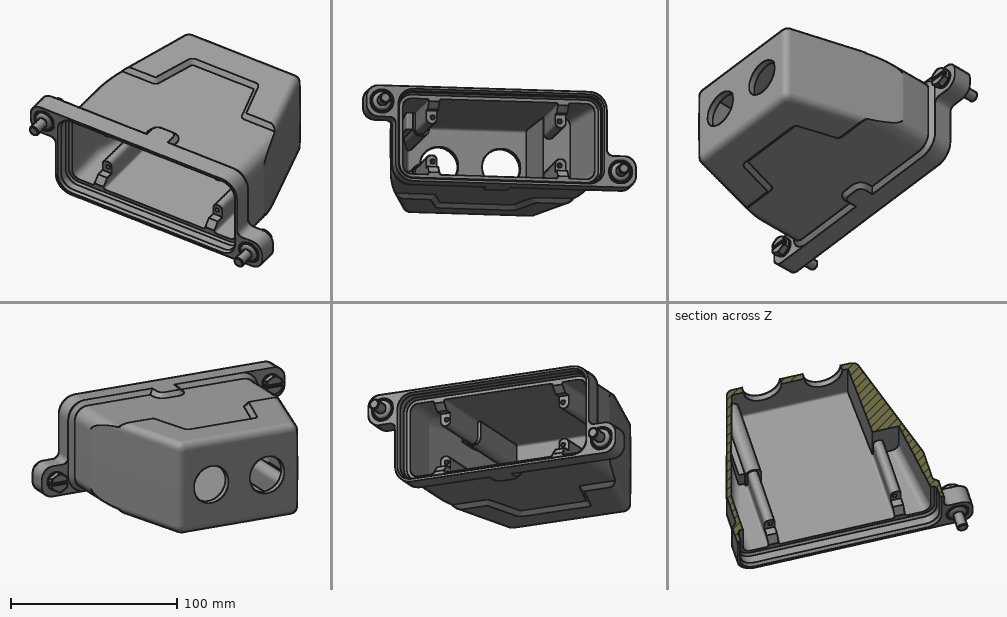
import cadquery as cq
import math


HALF_LENGTH = 82.5
HALF_HEIGHT = 29.0
FLANGE_HALF_WIDTH = 64.7
FLANGE_THICKNESS = 12.4
FLANGE_CORNER = 11.2
EAR_HEIGHT = 19.3
EAR_CORNER = 7.5
EAR_INNER_CORNER = 3.6

BODY_HALF_WIDTH = 61.63
BODY_HALF_HEIGHT = 26.2
BODY_CORNER = 8.5
SIDE_STRAIGHT_END = 35.3
BODY_TOP = 111.0
TOP_HALF_WIDTH = 40.5
DRAFT = 0.5
END_ROUND = 5.0
CORNER_ROUND = 4.8
SIDE_ROUND = 3.8
STEP = HALF_HEIGHT - BODY_HALF_HEIGHT
LEAN = (BODY_HALF_WIDTH - TOP_HALF_WIDTH) / (BODY_TOP - SIDE_STRAIGHT_END)

COVER_FOOT = 58.5
NOTCH_TOP = 86.5
NOTCH_TOP_HALF_WIDTH = 22.0
NOTCH_FOOT_HALF_WIDTH = 30.2
NOTCH_TOP_ROUND = 1.0
NOTCH_FOOT_ROUND = 3.6

BUMP_HALF_WIDTH = 10.2
BUMP_TOP = 24.9
BUMP_ROUND = 6.6

MOUTH_INSET = 1.6
WALL_INSET = 2.6
LEDGE_INSET = 3.8
MOUTH_CHAMFER_DEPTH = 2.1
WALL_END = 7.3
LEDGE_DEPTH = 8.9

CAVITY_HALF_WIDTH = 58.5
CAVITY_HALF_HEIGHT = 23.1
CAVITY_END = 107.0
CAVITY_CORNER = 5.3
CAVITY_END_ROUND = 1.5
SHELF_Y = 57.8
SHELF_INNER_X = 35.8
DEEP_RIGHT_X = 34.2
FACET_X = 49.2
FACET_Y = 69.3
DEEP_LEFT_X = 38.3

BOSS_X = 39.5
BOSS_HALF_WIDTH = 3.22
BOSS_INNER_Z = 9.5
BOSS_ROUND = 3.1
SCREW_X = 38.8
SCREW_Z = 13.5
BOSS_START = 18.2
RAMP_Z = 17.5
RAMP_CREST = 13.2
RAMP_FOOT_Z = 21.8
FOOT_ROUND = 1.5
SCREW_HOLE = 2.6
SCREW_HOLE_DEPTH = 16.5
ROOT_OUTER_X = 43.9
ROOT_INNER_X = 34.2
ROOT_Z = 8.5
ROOT_ROUND = 4.6
ROOT_START = 56.1
WEB_END_X = 47.7
WEB_Z = 12.9
WEB_START = 57.8
WEB_ROUND = 1.2

ENTRY_DIAMETER = 23.5
ENTRY_X = 19.0

BOLT_X = 73.0
BOLT_Z = HALF_HEIGHT - EAR_HEIGHT / 2
SHANK_RADIUS = 3.1
TIP_Y = -11.7
TIP_CHAMFER = 0.5
COLLAR_RADIUS = 6.0
COLLAR_HEIGHT = 1.6
COLLAR_BULGE = (5.1, -1.2)
COLLAR_POCKET_RADIUS = 7.1
COLLAR_POCKET_DEPTH = 1.6
WASHER_RADIUS = 5.8
WASHER_THICKNESS = 1.2
HEX_ACROSS_FLATS = 10.7
HEX_HEIGHT = 4.1
HEX_CHAMFER = 0.7
SLOT_WIDTH = 1.8
SLOT_DEPTH = 2.1


def rounded_bar(half_width, half_height, corner, y_from, y_to):
    """Rounded rectangle in X and Z, extruded along Y."""
    bar = cq.Workplane("XZ", origin=(0, y_from, 0)).rect(2 * half_width, 2 * half_height)
    return bar.extrude(y_from - y_to).edges("|Y").fillet(corner)


def rod(x, z, radius, y_from, y_to):
    """Cylinder along Y."""
    return cq.Workplane("XZ", origin=(x, y_from, z)).circle(radius).extrude(y_from - y_to)


def box(x_range, y_range, z_range):
    """Box between the given limits."""
    sizes = [high - low for low, high in (x_range, y_range, z_range)]
    corner = (x_range[0], y_range[0], z_range[0])
    return cq.Workplane("XY").box(*sizes, centered=False).translate(corner)


def both_sides(solid):
    """The solid together with its mirror image below Z = 0."""
    return solid.union(solid.mirror("XY"))


def make_flange():
    flange = rounded_bar(FLANGE_HALF_WIDTH, HALF_HEIGHT, FLANGE_CORNER, 0, FLANGE_THICKNESS)
    ear_bottom = HALF_HEIGHT - EAR_HEIGHT
    ear = box((-HALF_LENGTH, 0), (0, FLANGE_THICKNESS), (ear_bottom, HALF_HEIGHT))
    ear = ear.edges("|Y and <X").fillet(EAR_CORNER)
    for angle in (0, 180):
        flange = flange.union(ear.rotate((0, 0, 0), (0, 1, 0), angle))
    for side in (-1, 1):
        inner_corner = cq.selectors.NearestToPointSelector(
            (side * FLANGE_HALF_WIDTH, FLANGE_THICKNESS / 2, -side * ear_bottom)
        )
        flange = flange.edges("|Y").edges(inner_corner).fillet(EAR_INNER_CORNER)
    outline = flange.faces(">Y").wires().val()
    return cq.Workplane("XZ").add(outline).toPending().extrude(FLANGE_THICKNESS, taper=DRAFT)


def make_envelope():
    """Drafted outline of the whole hood, with its cable end rounded."""
    outline = [
        (-BODY_HALF_WIDTH, 0),
        (BODY_HALF_WIDTH, 0),
        (BODY_HALF_WIDTH, SIDE_STRAIGHT_END),
        (TOP_HALF_WIDTH, BODY_TOP),
        (-TOP_HALF_WIDTH, BODY_TOP),
        (-BODY_HALF_WIDTH, SIDE_STRAIGHT_END),
    ]
    half = cq.Workplane("XY").polyline(outline).close().extrude(HALF_HEIGHT, taper=DRAFT)
    half = half.faces(">Z").edges(">Y").fillet(END_ROUND)
    corner_zone = cq.selectors.BoxSelector(
        (-HALF_LENGTH, BODY_TOP - END_ROUND - 1.6, 1.6), (HALF_LENGTH, BODY_TOP + 1.6, HALF_HEIGHT - 3.3))
    half = half.edges(corner_zone).edges("not #Z").fillet(CORNER_ROUND)
    half = half.faces(">Z").edges("not(<Y or >Y)").fillet(SIDE_ROUND)
    return both_sides(half)


def make_core():
    """Drafted bar with rounded long edges, longer than the hood."""
    half = cq.Workplane("XY").rect(2 * BODY_HALF_WIDTH, 3 * BODY_TOP).extrude(BODY_HALF_HEIGHT, taper=DRAFT)
    return both_sides(half.faces(">Z").edges("|Y").fillet(BODY_CORNER))


def make_cover(envelope):
    """Raised cover block: the end of the envelope with a 45 degree notched lower edge."""
    reach = 2 * HALF_LENGTH
    floor = [
        (-reach, -reach),
        (-reach, COVER_FOOT),
        (-NOTCH_FOOT_HALF_WIDTH, COVER_FOOT),
        (-NOTCH_TOP_HALF_WIDTH, NOTCH_TOP),
        (NOTCH_TOP_HALF_WIDTH, NOTCH_TOP),
        (NOTCH_FOOT_HALF_WIDTH, COVER_FOOT),
        (reach, COVER_FOOT),
        (reach, -reach),
    ]
    sketch = cq.Sketch().polygon(floor + floor[:1])
    top_corners = cq.selectors.BoxSelector((-HALF_LENGTH, NOTCH_TOP - 1.6, -1.6), (HALF_LENGTH, NOTCH_TOP + 1.6, 1.6))
    foot_corners = cq.selectors.BoxSelector((-HALF_LENGTH, COVER_FOOT - 1.6, -1.6), (HALF_LENGTH, COVER_FOOT + 1.6, 1.6))
    sketch = sketch.vertices(top_corners).fillet(NOTCH_TOP_ROUND).reset()
    sketch = sketch.vertices(foot_corners).fillet(NOTCH_FOOT_ROUND).reset()
    notch = cq.Workplane("XY", origin=(0, 0, BODY_HALF_HEIGHT)).placeSketch(sketch).extrude(STEP, taper=-45)
    below = box((-reach, reach), (-reach, COVER_FOOT), (-BODY_HALF_HEIGHT, BODY_HALF_HEIGHT))
    return envelope.cut(both_sides(notch)).cut(below)


def make_shell():
    envelope = make_envelope()
    return make_core().intersect(envelope).union(make_cover(envelope))


def make_skirt():
    """45 degree skirt between the flange and the shell."""
    skirt = rounded_bar(
        BODY_HALF_WIDTH + STEP, HALF_HEIGHT, BODY_CORNER + STEP, FLANGE_THICKNESS, FLANGE_THICKNESS + STEP)
    return skirt.faces(">Y").chamfer(STEP * 0.999)


def make_bumps():
    outline = cq.Sketch().rect(2 * BUMP_HALF_WIDTH, BUMP_TOP).vertices(">Y").fillet(BUMP_ROUND)
    bump = cq.Workplane("XY", origin=(0, BUMP_TOP / 2, BODY_HALF_HEIGHT)).placeSketch(outline)
    bump = bump.extrude(STEP, taper=45)
    beside_flange = box((-HALF_LENGTH, HALF_LENGTH), (0, FLANGE_THICKNESS), (0, HALF_HEIGHT))
    bump = bump.cut(beside_flange)
    return both_sides(bump)


def make_mouth():
    """Recess for the mating half: lead-in chamfer, straight wall and a chamfer down to the ledge."""
    def wire(inset, y):
        half_width = FLANGE_HALF_WIDTH - inset
        slab = rounded_bar(half_width, HALF_HEIGHT - inset, FLANGE_CORNER - inset, y, y + 1.6)
        return slab.faces("<Y").wires().val()

    stations = [
        (MOUTH_INSET, 0),
        (WALL_INSET, MOUTH_CHAMFER_DEPTH),
        (WALL_INSET, WALL_END),
        (LEDGE_INSET, LEDGE_DEPTH),
    ]
    mouth = cq.Workplane("XY")
    for lower, upper in zip(stations, stations[1:]):
        mouth = mouth.union(cq.Workplane(cq.Solid.makeLoft([wire(*lower), wire(*upper)], True)))
    return mouth


def make_boss_foot(x):
    """Rounded transition from both sides of a boss to the long wall."""
    spread = BOSS_HALF_WIDTH + FOOT_ROUND
    foot = box(
        (x - spread, x + spread), (LEDGE_DEPTH, CAVITY_END), (CAVITY_HALF_HEIGHT - FOOT_ROUND, CAVITY_HALF_HEIGHT))
    for side in (-1, 1):
        foot = foot.cut(rod(
            x + side * spread, CAVITY_HALF_HEIGHT - FOOT_ROUND, FOOT_ROUND, LEDGE_DEPTH, CAVITY_END))
    return foot


def make_bosses():
    """Screw bosses reaching to the long walls, each with a ramp in front of it."""
    profile = [
        (CAVITY_END, BOSS_INNER_Z),
        (BOSS_START, BOSS_INNER_Z),
        (BOSS_START, RAMP_Z),
        (RAMP_CREST, RAMP_Z),
        (LEDGE_DEPTH, RAMP_FOOT_Z),
        (LEDGE_DEPTH, CAVITY_HALF_HEIGHT),
        (CAVITY_END, CAVITY_HALF_HEIGHT),
    ]
    bosses = cq.Workplane("XY")
    for side in (-1, 1):
        boss = cq.Workplane("YZ", origin=(side * BOSS_X, 0, 0)).polyline(profile).close()
        boss = boss.extrude(BOSS_HALF_WIDTH, both=True)
        boss = boss.faces("<Z").edges("|Y").fillet(BOSS_ROUND)
        hole = rod(side * SCREW_X, SCREW_Z, SCREW_HOLE / 2, BOSS_START, BOSS_START + SCREW_HOLE_DEPTH)
        bosses = bosses.union(boss.cut(hole)).union(make_boss_foot(side * BOSS_X))
    root = box((-ROOT_OUTER_X, -ROOT_INNER_X), (ROOT_START, CAVITY_END), (ROOT_Z, CAVITY_HALF_HEIGHT))
    root = root.faces("<Z").edges("|Y").fillet(ROOT_ROUND)
    web = box((-WEB_END_X, -BOSS_X), (WEB_START, CAVITY_END), (WEB_Z, CAVITY_HALF_HEIGHT))
    web = web.edges("<X and <Y").fillet(WEB_ROUND)
    return both_sides(bosses.union(root).union(web))


def make_cavity():
    """Inner space: the left wall leans to the very end, the right one stops at a shelf."""
    shelf_outer_x = CAVITY_HALF_WIDTH - LEAN * (SHELF_Y - SIDE_STRAIGHT_END)
    outline = [
        (-CAVITY_HALF_WIDTH, 0),
        (CAVITY_HALF_WIDTH, 0),
        (CAVITY_HALF_WIDTH, LEDGE_DEPTH),
        (shelf_outer_x, SHELF_Y),
        (SHELF_INNER_X, SHELF_Y),
        (DEEP_RIGHT_X, CAVITY_END),
        (-DEEP_LEFT_X, CAVITY_END),
        (-FACET_X, FACET_Y),
        (-CAVITY_HALF_WIDTH, SIDE_STRAIGHT_END),
    ]
    half = cq.Workplane("XY").polyline(outline).close().extrude(CAVITY_HALF_HEIGHT)
    right_edges = cq.selectors.BoxSelector(
        (SHELF_INNER_X + 16.5, 1.6, CAVITY_HALF_HEIGHT - 1.6), (HALF_LENGTH, SHELF_Y - 1.6, CAVITY_HALF_HEIGHT + 1.6))
    left_edges = cq.selectors.BoxSelector(
        (-HALF_LENGTH, 1.6, CAVITY_HALF_HEIGHT - 1.6), (-DEEP_LEFT_X, CAVITY_END - 1.6, CAVITY_HALF_HEIGHT + 1.6))
    half = half.edges(right_edges + left_edges).fillet(CAVITY_CORNER)
    end_edge = half.faces(">Y").edges(">Z")
    half = end_edge.fillet(CAVITY_END_ROUND)
    return both_sides(half).cut(make_bosses())


def make_housing():
    housing = make_flange().union(make_shell()).union(make_skirt()).union(make_bumps())
    housing = housing.cut(make_cavity()).cut(make_mouth())
    for side in (-1, 1):
        housing = housing.cut(rod(side * ENTRY_X, 0, ENTRY_DIAMETER / 2, CAVITY_END - 1.6, BODY_TOP + 1.6))
        x = side * BOLT_X
        z = -side * BOLT_Z
        housing = housing.cut(rod(x, z, SHANK_RADIUS, 0, FLANGE_THICKNESS))
        housing = housing.cut(rod(x, z, COLLAR_POCKET_RADIUS, 0, COLLAR_POCKET_DEPTH))
    return housing


def make_bolt(x, z):
    """Slotted hexagon bolt with a washer under its head and a domed collar at the mating face."""
    washer_top = FLANGE_THICKNESS + WASHER_THICKNESS
    head_top = washer_top + HEX_HEIGHT
    shank = rod(0, 0, SHANK_RADIUS, TIP_Y, washer_top).faces("<Y").chamfer(TIP_CHAMFER)
    collar = cq.Workplane("XY").moveTo(0, COLLAR_POCKET_DEPTH).lineTo(COLLAR_RADIUS, COLLAR_POCKET_DEPTH)
    collar = collar.lineTo(COLLAR_RADIUS, 0).threePointArc(COLLAR_BULGE, (SHANK_RADIUS, -COLLAR_HEIGHT))
    collar = collar.lineTo(0, -COLLAR_HEIGHT).close().revolve(360, (0, 0, 0), (0, 1, 0))
    washer = rod(0, 0, WASHER_RADIUS, FLANGE_THICKNESS, washer_top)
    across_corners = HEX_ACROSS_FLATS / math.cos(math.pi / 6)
    head = cq.Workplane("XZ", origin=(0, washer_top, 0)).transformed(rotate=(0, 0, 30))
    head = head.polygon(6, across_corners).extrude(-HEX_HEIGHT)
    cone = rod(0, 0, across_corners / 2, washer_top, head_top).faces(">Y").chamfer(HEX_CHAMFER)
    head = head.intersect(cone)
    slot = box(
        (-across_corners, across_corners), (head_top - SLOT_DEPTH, head_top), (-SLOT_WIDTH / 2, SLOT_WIDTH / 2))
    bolt = shank.union(collar).union(washer).union(head).cut(slot)
    return bolt.translate((x, 0, z))


housing = make_housing()
bolts = [make_bolt(side * BOLT_X, -side * BOLT_Z) for side in (-1, 1)]

result = cq.Compound.makeCompound([housing.val(), *[bolt.val() for bolt in bolts]])